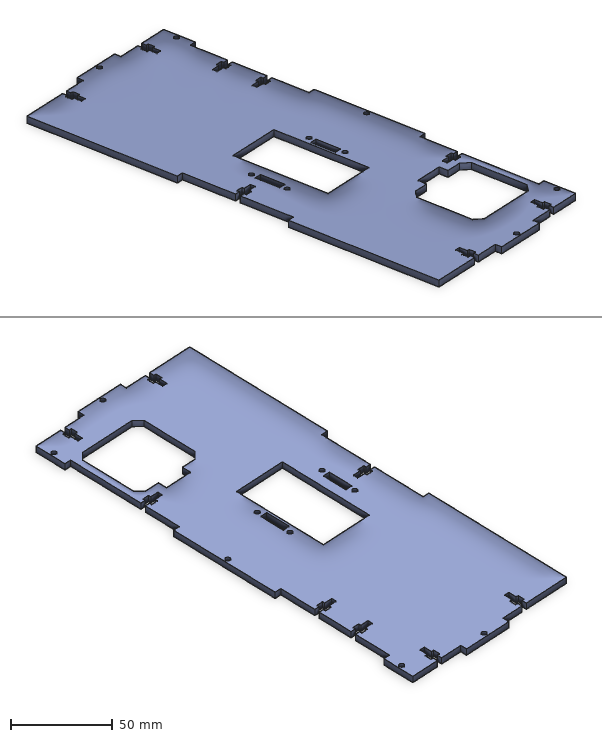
import cadquery as cq

thickness = 4.0
body_length = 260.0
body_width = 109.0
joint_depth = thickness
half_length = body_length / 2

end_tab_width = 30.0
end_tab_y = 60.0
long_edge_tab_half = 35.0
corner_tab_length = 20.0
recess_y = body_width - joint_depth

hole_diameter = 3.0
tab_hole_inset = 2.4

screw_slot_width = 3.0
screw_slot_length = 12.0
nut_width = 6.0
nut_thickness = 4.0
nut_inset = 3.0
top_slot_x = (-85.0, -60.0, 60.0)
end_slot_offset = 30.0

window_x = 4.0
window_y = 49.2
window_length = 60.0
window_width = 32.5
connector_length = 15.5
connector_width = 4.2
connector_y = (24.6, 69.0)
connector_hole_y = (24.0, 70.0)
connector_hole_spacing = 22.6

fan_size = 43.5
fan_x = 88.25
fan_y = 79.0
fan_chamfer = 4.2
fan_notch_depth = 5.6
fan_notch_width = 17.0


def block(length, width, x, y):
    """Full-thickness rectangular block centred at (x, y)."""
    return cq.Workplane("XY").center(x, y).rect(length, width).extrude(thickness)


def make_plate():
    plate = block(body_length, body_width, 0, body_width / 2)
    end_tabs = block(body_length + 2 * joint_depth, end_tab_width, 0, end_tab_y)
    return plate.union(end_tabs)


def make_edge_recesses():
    """One recess in the lower edge and two between the tabs of the upper edge."""
    recesses = block(2 * long_edge_tab_half, joint_depth, 0, joint_depth / 2)
    recess_end = half_length - corner_tab_length
    recess_length = recess_end - long_edge_tab_half
    recess_x = (recess_end + long_edge_tab_half) / 2
    for side in (-1, 1):
        recess = block(recess_length, joint_depth, side * recess_x, body_width - joint_depth / 2)
        recesses = recesses.union(recess)
    return recesses


def make_t_slot(x, y, angle):
    """Cross-shaped nut slot that starts at edge point (x, y) and runs inward along angle."""
    screw = block(screw_slot_length, screw_slot_width, screw_slot_length / 2, 0)
    nut = block(nut_thickness, nut_width, nut_inset + nut_thickness / 2, 0)
    slot = screw.union(nut)
    return slot.rotate((0, 0, 0), (0, 0, 1), angle).translate((x, y, 0))


def make_t_slots():
    slots = make_t_slot(0, joint_depth, 90)
    for x in top_slot_x:
        slots = slots.union(make_t_slot(x, recess_y, -90))
    for y in (end_tab_y - end_slot_offset, end_tab_y + end_slot_offset):
        slots = slots.union(make_t_slot(-half_length, y, 0))
        slots = slots.union(make_t_slot(half_length, y, 180))
    return slots


def make_window():
    opening = block(window_length, window_width, window_x, window_y)
    for y in connector_y:
        opening = opening.union(block(connector_length, connector_width, window_x, y))
    return opening


def make_fan_opening():
    opening = block(fan_size, fan_size, fan_x, fan_y).edges("|Z").chamfer(fan_chamfer)
    notch_length = fan_size / 2 + fan_notch_depth
    notch = block(notch_length, fan_notch_width, fan_x - notch_length / 2, fan_y)
    return opening.union(notch)


def make_holes():
    top_hole_y = body_width - tab_hole_inset
    corner_hole_x = half_length - corner_tab_length / 2
    end_hole_x = half_length + joint_depth - tab_hole_inset
    points = [(0, top_hole_y)]
    for side in (-1, 1):
        points.append((side * corner_hole_x, top_hole_y))
        points.append((side * end_hole_x, end_tab_y))
        for y in connector_hole_y:
            points.append((window_x + side * connector_hole_spacing / 2, y))
    return cq.Workplane("XY").pushPoints(points).circle(hole_diameter / 2).extrude(thickness)


result = (
    make_plate()
    .cut(make_edge_recesses())
    .cut(make_t_slots())
    .cut(make_window())
    .cut(make_fan_opening())
    .cut(make_holes())
)